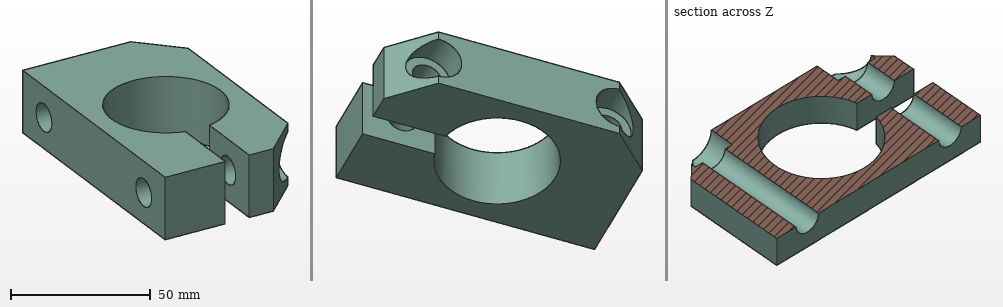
import cadquery as cq

length = 100
depth = 60
height = 25
corner_chamfer = 15

bore_diameter = 45.3
slot_width = 10

bolt_hole_diameter = 11
bolt_inset = 15
counterbore_diameter = 18
counterbore_depth = 11

back_y = depth / 2
bolt_x = length / 2 - bolt_inset


def make_block():
    """Rectangular block with both back corners cut off."""
    block = cq.Workplane("XY").box(length, depth, height, centered=(True, True, False))
    return block.faces(">Y").edges("|Z").chamfer(corner_chamfer)


def make_bore():
    return cq.Workplane("XY").circle(bore_diameter / 2).extrude(height)


def make_slot():
    """Slot from the bore axis out through the +X side."""
    return cq.Workplane("XY").box(
        length / 2, slot_width, height, centered=(False, True, False)
    )


def back_cylinder(x, diameter, drill_depth):
    """Cylinder running forward from the back face at mid height."""
    start = cq.Vector(x, back_y, height / 2)
    direction = cq.Vector(0, -1, 0)
    return cq.Workplane(
        cq.Solid.makeCylinder(diameter / 2, drill_depth, start, direction)
    )


result = make_block().cut(make_bore()).cut(make_slot())
for x in (-bolt_x, bolt_x):
    result = result.cut(back_cylinder(x, bolt_hole_diameter, depth))
    result = result.cut(back_cylinder(x, counterbore_diameter, counterbore_depth))